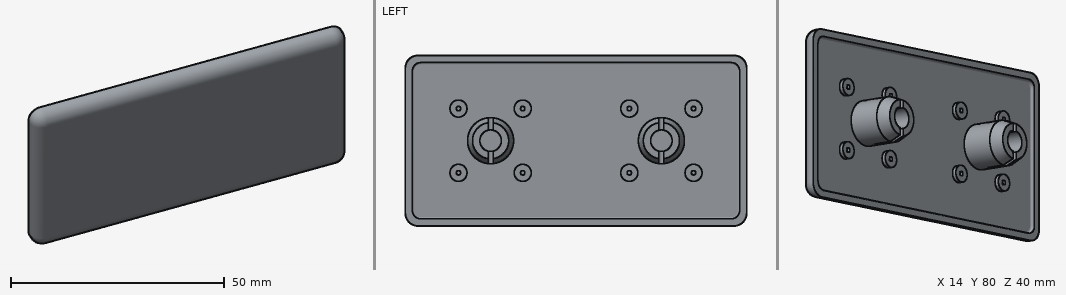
import cadquery as cq

plate_length = 80.0
plate_height = 40.0
plate_thickness = 4.0
edge_radius = 3.0

rim_width = 1.7
recess_depth = 1.0
recess_floor_radius = 0.5
recess_corner_radius = 2.0

peg_spacing = 40.0
peg_projection = 10.0
peg_diameter = 10.8
peg_tip_diameter = 8.5
peg_taper_length = 3.0
peg_bore_diameter = 5.0
slot_width = 1.2
slot_depth = 8.0

pad_spacing = 15.0
pad_diameter = 4.0
pad_hole_diameter = 1.0

peg_centers = [(-peg_spacing / 2, 0), (peg_spacing / 2, 0)]
pad_offset = pad_spacing / 2
pad_centers = [
    (peg_y + side * pad_offset, level * pad_offset)
    for peg_y, _ in peg_centers
    for side in (-1, 1)
    for level in (-1, 1)
]


def make_plate():
    """Rounded plate: the corner and edge radii match, so each corner is a sphere patch."""
    return (
        cq.Workplane("YZ")
        .rect(plate_length, plate_height)
        .extrude(plate_thickness)
        .edges("|X")
        .fillet(edge_radius)
        .faces(">X")
        .edges()
        .fillet(edge_radius)
    )


def make_recess():
    """Pocket volume with rounded corners and a rounded edge around its floor."""
    return (
        cq.Workplane("YZ")
        .rect(plate_length - 2 * rim_width, plate_height - 2 * rim_width)
        .extrude(recess_depth)
        .edges("|X")
        .fillet(recess_corner_radius)
        .faces(">X")
        .edges()
        .fillet(recess_floor_radius)
    )


def on_floor(centers):
    """Workplane points on the recess floor; negative extrusions rise from it."""
    return cq.Workplane("YZ", origin=(recess_depth, 0, 0)).pushPoints(centers)


def make_peg():
    """Hollow peg along the X axis, with a tapered tip and a round-ended slot cut through along Z."""
    body = (
        cq.Workplane("XZ")
        .moveTo(recess_depth, peg_bore_diameter / 2)
        .lineTo(recess_depth, peg_diameter / 2)
        .lineTo(peg_taper_length - peg_projection, peg_diameter / 2)
        .lineTo(-peg_projection, peg_tip_diameter / 2)
        .lineTo(-peg_projection, peg_bore_diameter / 2)
        .close()
        .revolve(360, (0, 0, 0), (1, 0, 0))
    )
    slot = (
        cq.Workplane("XY")
        .center(-peg_projection, 0)
        .slot2D(2 * slot_depth, slot_width)
        .extrude(peg_diameter / 2, both=True)
    )
    return body.cut(slot)


def make_pads():
    """Pads with a small blind hole down to the recess floor."""
    pads = on_floor(pad_centers).circle(pad_diameter / 2).extrude(-recess_depth)
    holes = on_floor(pad_centers).circle(pad_hole_diameter / 2).extrude(-recess_depth)
    return pads.cut(holes)


result = make_plate().cut(make_recess()).union(make_pads())
for peg_y, peg_z in peg_centers:
    result = result.union(make_peg().translate((0, peg_y, peg_z)))